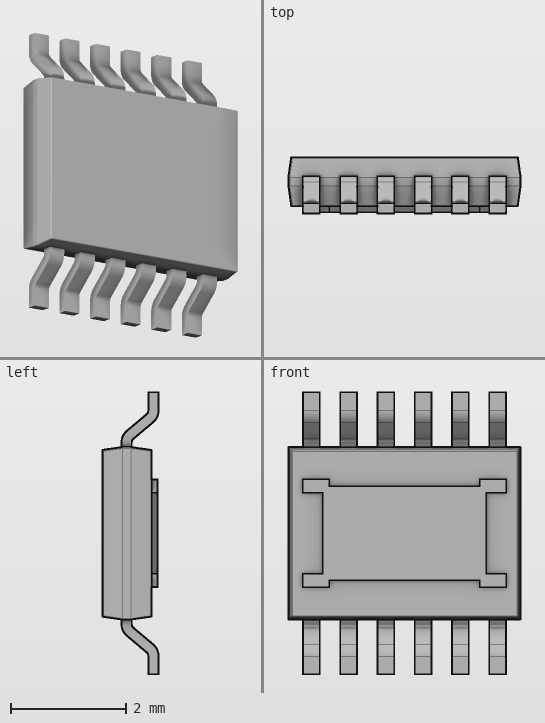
import cadquery as cq
import math

overall_depth = 0.98
overall_height = 4.9

body_width = 4.04
body_height = 3.0
back_shell_depth = 0.35
band_depth = 0.145
front_shell_depth = 0.365
taper_angle = 8.0
body_edge_radius = 0.022

pad_width = 2.84
pad_height = 1.635
pad_proud = 0.105
pad_tab_reach = 1.77
pad_tab_inner = 1.305
pad_tab_top = 0.935
pad_tab_bottom = 0.7

leads_per_row = 6
lead_pitch = 0.645
lead_width = 0.3
lead_thickness = 0.18
lead_inner_radius = 0.095
lead_bend_angle = 50.0
foot_length = 0.315
lead_embed = 0.05

body_depth = back_shell_depth + band_depth + front_shell_depth
band_back = -back_shell_depth
band_front = band_back - band_depth


def make_shell(start, depth):
    """Shell growing from the band at Y = start; a negative depth grows towards +Y."""
    return (
        cq.Workplane("XZ", origin=(0, start, 0))
        .rect(body_width, body_height)
        .extrude(depth, taper=taper_angle)
    )


def make_body():
    band = (
        cq.Workplane("XZ", origin=(0, band_back, 0))
        .rect(body_width, body_height)
        .extrude(band_depth)
    )
    back_shell = make_shell(band_back, -back_shell_depth)
    front_shell = make_shell(band_front, front_shell_depth)
    body = band.union(back_shell).union(front_shell)
    rounded_corners = body.edges("not (|X or |Z)").fillet(body_edge_radius)
    return rounded_corners.faces("<Y or >Y").edges().fillet(body_edge_radius)


def make_pad():
    """Plate standing on the front of the body, sunk into it as far as it stands proud."""
    pad_back = -body_depth + pad_proud
    thickness = 2 * pad_proud
    pad = (
        cq.Workplane("XZ", origin=(0, pad_back, 0))
        .rect(pad_width, pad_height)
        .extrude(thickness)
    )
    tabs = (
        cq.Workplane("XZ", origin=(0, pad_back, 0))
        .rect(pad_tab_reach + pad_tab_inner, pad_tab_top + pad_tab_bottom, forConstruction=True)
        .vertices()
        .rect(pad_tab_reach - pad_tab_inner, pad_tab_top - pad_tab_bottom)
        .extrude(thickness)
    )
    return pad.union(tabs)


def make_lead():
    """Upper lead at X = 0: a strip swept along its bent centre line in the YZ plane."""
    sine = math.sin(math.radians(lead_bend_angle))
    cosine = math.cos(math.radians(lead_bend_angle))
    radius = lead_inner_radius + lead_thickness / 2
    root_y = (band_back + band_front) / 2
    foot_y = -overall_depth + lead_thickness / 2
    bend_y = radius * (1 - cosine)
    bend_z = radius * sine
    slope_y = root_y - foot_y - 2 * bend_y
    slope_z = slope_y * cosine / sine
    tip_z = overall_height / 2
    foot_bend_z = tip_z - foot_length
    root_bend_z = foot_bend_z - 2 * bend_z - slope_z
    root_z = body_height / 2 - lead_embed

    path = (
        cq.Workplane("YZ")
        .moveTo(root_y, root_z)
        .lineTo(root_y, root_bend_z)
        .tangentArcPoint((root_y - bend_y, root_bend_z + bend_z), relative=False)
        .lineTo(foot_y + bend_y, foot_bend_z - bend_z)
        .tangentArcPoint((foot_y, foot_bend_z), relative=False)
        .lineTo(foot_y, tip_z)
    )
    return (
        cq.Workplane("XY", origin=(0, root_y, root_z))
        .rect(lead_width, lead_thickness)
        .sweep(path)
    )


result = make_body().union(make_pad())
upper_lead = make_lead()
lower_lead = upper_lead.mirror("XY")
for index in range(leads_per_row):
    lead_x = (index - (leads_per_row - 1) / 2) * lead_pitch
    for lead in (upper_lead, lower_lead):
        result = result.union(lead.translate((lead_x, 0, 0)))